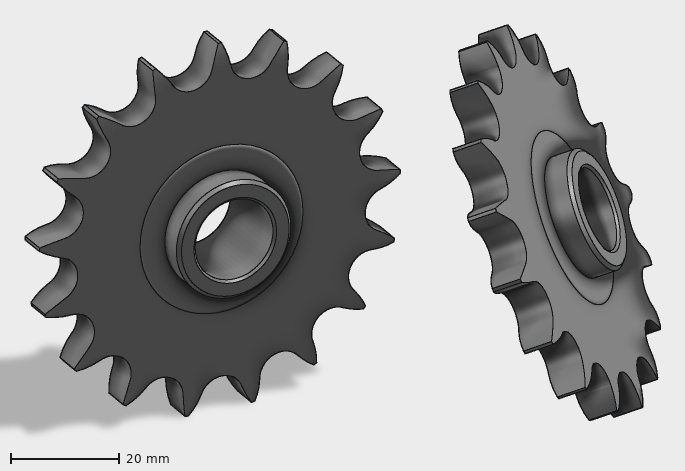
import cadquery as cq
import math

tooth_count = 17
chain_pitch = 12.7
seat_radius = 4.5
seat_half_angle = 67.0
tip_radius = 37.715
tip_half_width = 0.35

hub_length = 18.29
plate_thickness = 7.1
shoulder_thickness = 7.6

relief_start_radius = 33.4
relief_depth = 0.65

shoulder_radius = 16.95
shoulder_face_radius = 16.2
hub_radius = 11.9
hub_chamfer = 0.7
bore_radius = 8.1
bore_chamfer = 0.5

tooth_angle = 360.0 / tooth_count
pitch_radius = chain_pitch / (2 * math.sin(math.radians(tooth_angle / 2)))
half_plate = plate_thickness / 2
half_shoulder = shoulder_thickness / 2
half_hub = hub_length / 2
cutter_clearance = 2.0


def revolve_about_x(profile):
    """Full turn of an (X, radius) half section drawn in the XZ plane."""
    return profile.close().revolve(360, (0, 0, 0), (1, 0, 0))


def rounded_disc(half_width, round_start, rim_radius, depth):
    """Disc whose faces curve inwards by `depth` on a tangent arc from `round_start` to the rim."""
    height = rim_radius - round_start
    arc_radius = (height**2 + depth**2) / (2 * depth)
    half_sweep = math.asin(height / arc_radius) / 2
    mid_x = half_width - arc_radius * (1 - math.cos(half_sweep))
    mid_radius = round_start + arc_radius * math.sin(half_sweep)
    rim_x = half_width - depth
    return revolve_about_x(
        cq.Workplane("XZ")
        .moveTo(-half_width, 0)
        .lineTo(-half_width, round_start)
        .threePointArc((-mid_x, mid_radius), (-rim_x, rim_radius))
        .lineTo(rim_x, rim_radius)
        .threePointArc((mid_x, mid_radius), (half_width, round_start))
        .lineTo(half_width, 0)
    )


def gap_cutter():
    """Space between two teeth, centred on +Z: a roller seat running tangentially into convex flanks."""
    sine = math.sin(math.radians(seat_half_angle))
    cosine = math.cos(math.radians(seat_half_angle))
    seat_bottom = (0, pitch_radius - seat_radius)
    seat_end = (seat_radius * sine, pitch_radius - seat_radius * cosine)

    tip_angle = math.radians(tooth_angle / 2) - math.asin(tip_half_width / tip_radius)
    tip = (tip_radius * math.sin(tip_angle), tip_radius * math.cos(tip_angle))
    top = tip_radius + cutter_clearance

    chord = (tip[0] - seat_end[0], tip[1] - seat_end[1])
    chord_angle = math.atan2(chord[1], chord[0])
    turn = math.radians(seat_half_angle) - chord_angle
    bulge = math.hypot(*chord) / 2 * math.tan(turn / 2)
    flank_mid = (
        seat_end[0] + chord[0] / 2 - bulge * math.sin(chord_angle),
        seat_end[1] + chord[1] / 2 + bulge * math.cos(chord_angle),
    )
    return (
        cq.Workplane("YZ")
        .moveTo(-seat_end[0], seat_end[1])
        .threePointArc(seat_bottom, seat_end)
        .threePointArc(flank_mid, tip)
        .lineTo(tip[0], top)
        .lineTo(-tip[0], top)
        .lineTo(-tip[0], tip[1])
        .threePointArc((-flank_mid[0], flank_mid[1]), (-seat_end[0], seat_end[1]))
        .close()
        .extrude(plate_thickness, both=True)
    )


def toothed_plate():
    """Sprocket plate with one tooth pointing along +Z."""
    plate = rounded_disc(half_plate, relief_start_radius, tip_radius, relief_depth)
    cutter = gap_cutter()
    for index in range(tooth_count):
        gap_angle = (index + 0.5) * tooth_angle
        plate = plate.cut(cutter.rotate((0, 0, 0), (1, 0, 0), gap_angle))
    return plate


def shoulder():
    """Slightly raised disc around the hub on both plate faces, with a rounded rim."""
    step = half_shoulder - half_plate
    return rounded_disc(half_shoulder, shoulder_face_radius, shoulder_radius, step)


def hub():
    """Hub through the plate, chamfered at both ends."""
    return revolve_about_x(
        cq.Workplane("XZ")
        .moveTo(-half_hub, 0)
        .lineTo(-half_hub, hub_radius - hub_chamfer)
        .lineTo(-half_hub + hub_chamfer, hub_radius)
        .lineTo(half_hub - hub_chamfer, hub_radius)
        .lineTo(half_hub, hub_radius - hub_chamfer)
        .lineTo(half_hub, 0)
    )


def bore():
    """Through bore, opened by a chamfer at both ends."""
    return revolve_about_x(
        cq.Workplane("XZ")
        .moveTo(-half_hub, 0)
        .lineTo(-half_hub, bore_radius + bore_chamfer)
        .lineTo(-half_hub + bore_chamfer, bore_radius)
        .lineTo(half_hub - bore_chamfer, bore_radius)
        .lineTo(half_hub, bore_radius + bore_chamfer)
        .lineTo(half_hub, 0)
    )


result = toothed_plate().union(shoulder()).union(hub()).cut(bore())